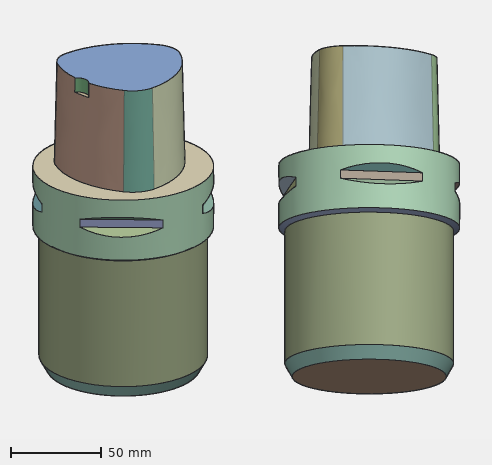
import cadquery as cq
import math

total_height = 180.0
shank_length = 60.0
flange_top = total_height - shank_length
flange_height = 37.6
flange_bottom = flange_top - flange_height

body_radius = 93.5 / 2
body_chamfer_width = 4.1
body_chamfer_height = 7.4
flange_radius = 100.0 / 2
flange_cone_height = 1.8

lobe_center_distance = 21.6
lobe_radius_top = 16.0
lobe_radius_bottom = 17.5

notch_arc_radius = 7.0
notch_inner_reach = 29.0
notch_depth = 8.5

groove_count = 4
groove_first_angle = 45
groove_z = 103.9
groove_floor_distance = 44.5
groove_floor_height = 4.7
groove_mouth_height = 11.9


def polar(radius, angle):
    """Point at a radius and an angle in degrees."""
    return (radius * math.cos(math.radians(angle)), radius * math.sin(math.radians(angle)))


def shank_outline(lobe_radius, z):
    """Constant-width three-lobed wire made of six tangent arcs."""
    def lobe_point(lobe_angle, normal_angle):
        center_x, center_y = polar(lobe_center_distance, lobe_angle)
        offset_x, offset_y = polar(lobe_radius, normal_angle)
        return (center_x + offset_x, center_y + offset_y)

    flank_radius = lobe_radius + math.sqrt(3) * lobe_center_distance
    flank_reach = flank_radius - lobe_center_distance

    outline = cq.Workplane("XY").workplane(offset=z).moveTo(*lobe_point(90, 60))
    for lobe_angle in (90, 210, 330):
        outline = outline.threePointArc(
            lobe_point(lobe_angle, lobe_angle), lobe_point(lobe_angle, lobe_angle + 30)
        )
        next_lobe = lobe_angle + 120
        outline = outline.threePointArc(
            polar(flank_reach, lobe_angle + 60), lobe_point(next_lobe, next_lobe - 30)
        )
    return outline.close().val()


def make_body():
    """Turned body and flange, joined by a cone under the flange."""
    profile = [
        (0, 0),
        (body_radius - body_chamfer_width, 0),
        (body_radius, body_chamfer_height),
        (body_radius, flange_bottom),
        (flange_radius, flange_bottom + flange_cone_height),
        (flange_radius, flange_top),
        (0, flange_top),
    ]
    return cq.Workplane("XZ").polyline(profile).close().revolve(360, (0, 0, 0), (0, 1, 0))


def make_shank():
    """Ruled taper between the lower and upper outlines."""
    lower = shank_outline(lobe_radius_bottom, flange_top)
    upper = shank_outline(lobe_radius_top, total_height)
    return cq.Workplane(cq.Solid.makeLoft([lower, upper], True))


def make_notch():
    """Vertical cylinder that bites into the -Y flank of the shank."""
    return (
        cq.Workplane("XY")
        .workplane(offset=total_height - notch_depth)
        .center(0, -(notch_inner_reach + notch_arc_radius))
        .circle(notch_arc_radius)
        .extrude(notch_depth)
    )


def make_groove(angle):
    """Straight trapezoidal groove, cut as a chord across the flange."""
    half_floor = groove_floor_height / 2
    half_mouth = groove_mouth_height / 2
    section = [
        (groove_floor_distance, groove_z - half_floor),
        (flange_radius, groove_z - half_mouth),
        (flange_radius, groove_z + half_mouth),
        (groove_floor_distance, groove_z + half_floor),
    ]
    groove = cq.Workplane("XZ").polyline(section).close().extrude(flange_radius, both=True)
    return groove.rotate((0, 0, 0), (0, 0, 1), angle)


result = make_body().union(make_shank()).cut(make_notch())
for index in range(groove_count):
    result = result.cut(make_groove(groove_first_angle + index * 360 / groove_count))